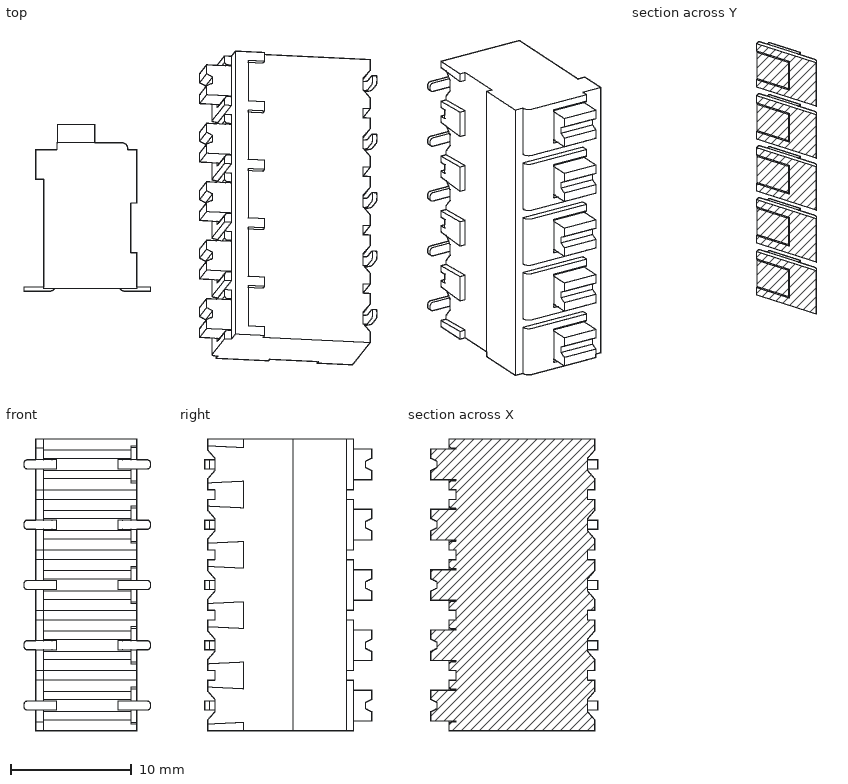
import cadquery as cq
import math

pole_count = 5
row_length = 24.2
cell_height = 4.2
pitch = (row_length - cell_height) / (pole_count - 1)
gap_height = pitch - cell_height
pole_centers = [(i - (pole_count - 1) / 2) * pitch for i in range(pole_count)]
gap_centers = [z + pitch / 2 for z in pole_centers[:-1]]

body_left = -3.6
body_right = 4.11
shoulder_y = 11.52

lip_left = -4.28
lip_front = 10.43
lug_front = 9.05
end_lug_height = 0.75

block_left = -2.52
block_right = 3.36
block_top = 12.1
block_corner_radius = 0.5

channel_depth = 0.6
channel_floor_height = 1.0
channel_mouth_height = 2.37

side_depth = 0.5
side_channel_start = 2.98
side_channel_end = 7.1
recess_mouth_height = 3.07
recess_inner_height = 2.78

button_left = -2.47
button_right = 0.63
button_top = 13.6
button_height = 2.57
button_notch_depth = 0.5
button_notch_mouth = 1.02
button_notch_floor = 0.5
slot_clearance = 0.07
slot_chamfer = 0.17

pin_half_span = 10.5 / 2
pin_height = 0.77
pin_thickness = 0.39
pin_bottom = -0.25
pin_bend_start = 3.2
pin_bend_radius = 0.65
pin_embedded_end = 1.2
pin_tip_radius = 0.3


def box(x0, x1, y0, y1, z_center, height):
    """Box given by its X and Y limits, centered on z_center."""
    return cq.Workplane("XY").box(x1 - x0, y1 - y0, height).translate(
        ((x0 + x1) / 2, (y0 + y1) / 2, z_center)
    )


def side_profile(points, x0, x1, z_center):
    """Prism along X from a closed list of (y, z) points measured from z_center."""
    return (
        cq.Workplane("YZ", origin=(x0, 0, z_center))
        .polyline(points)
        .close()
        .extrude(x1 - x0)
    )


def make_housing():
    housing = box(body_left, body_right, 0, shoulder_y, 0, row_length)
    housing = housing.union(box(lip_left, body_left, lip_front, shoulder_y, 0, row_length))
    for z in gap_centers:
        housing = housing.union(box(lip_left, body_left, lug_front, shoulder_y, z, gap_height))
    for end in (-1, 1):
        z = end * (row_length - end_lug_height) / 2
        housing = housing.union(box(lip_left, body_left, lug_front, shoulder_y, z, end_lug_height))
    return housing


def make_block(z):
    """Raised block with one rounded corner and a flared slot for the button."""
    block = box(block_left, block_right, shoulder_y, block_top, z, cell_height)
    block = block.edges("|Z and >X and >Y").fillet(block_corner_radius)
    half_slot = button_height / 2 + slot_clearance
    half_mouth = half_slot + slot_chamfer
    chamfer_start = block_top - slot_chamfer
    slot = side_profile(
        [
            (shoulder_y, -half_slot),
            (chamfer_start, -half_slot),
            (block_top, -half_mouth),
            (block_top, half_mouth),
            (chamfer_start, half_slot),
            (shoulder_y, half_slot),
        ],
        block_left,
        button_right + slot_clearance,
        z,
    )
    return block.cut(slot)


def make_button(z):
    """Push button with a tapered notch across its end."""
    half = button_height / 2
    notch_floor = button_top - button_notch_depth
    return side_profile(
        [
            (shoulder_y, -half),
            (button_top, -half),
            (button_top, -button_notch_mouth / 2),
            (notch_floor, -button_notch_floor / 2),
            (notch_floor, button_notch_floor / 2),
            (button_top, button_notch_mouth / 2),
            (button_top, half),
            (shoulder_y, half),
        ],
        button_left,
        button_right,
        z,
    )


def make_pin_channel(z):
    mouth = channel_mouth_height / 2
    floor = channel_floor_height / 2
    points = [(0, -mouth), (0, mouth), (channel_depth, floor), (channel_depth, -floor)]
    return side_profile(points, body_left, body_right, z)


def make_side_recess(z):
    mouth = recess_mouth_height / 2
    inner = recess_inner_height / 2
    points = [(0, -mouth), (0, mouth), (side_channel_start, inner), (side_channel_start, -inner)]
    return side_profile(points, body_right - side_depth, body_right, z)


def make_right_pin(z):
    """Flat lead with a rounded tip, bent a quarter turn into the housing."""
    bend_y = pin_bottom + pin_bend_radius
    inner_radius = pin_bend_radius - pin_thickness
    diagonal = math.sqrt(0.5)
    leg_outer_x = pin_bend_start - pin_bend_radius
    pin = (
        cq.Workplane("XY", origin=(0, 0, z - pin_height / 2))
        .moveTo(pin_half_span, pin_bottom)
        .lineTo(pin_bend_start, pin_bottom)
        .threePointArc(
            (pin_bend_start - pin_bend_radius * diagonal, bend_y - pin_bend_radius * diagonal),
            (leg_outer_x, bend_y),
        )
        .lineTo(leg_outer_x, pin_embedded_end)
        .lineTo(leg_outer_x + pin_thickness, pin_embedded_end)
        .lineTo(leg_outer_x + pin_thickness, bend_y)
        .threePointArc(
            (pin_bend_start - inner_radius * diagonal, bend_y - inner_radius * diagonal),
            (pin_bend_start, pin_bottom + pin_thickness),
        )
        .lineTo(pin_half_span, pin_bottom + pin_thickness)
        .close()
        .extrude(pin_height)
    )
    return pin.edges("|Y and >X").fillet(pin_tip_radius)


result = make_housing()

result = result.cut(
    box(body_right - side_depth, body_right, side_channel_start, side_channel_end, 0, row_length)
)
for z in gap_centers:
    result = result.cut(box(body_left, body_right, 0, channel_depth, z, gap_height))
for z in pole_centers:
    result = result.cut(make_pin_channel(z))
    result = result.cut(make_side_recess(z))

for z in pole_centers:
    right_pin = make_right_pin(z)
    result = result.union(make_block(z))
    result = result.union(make_button(z))
    result = result.union(right_pin)
    result = result.union(right_pin.mirror("YZ"))